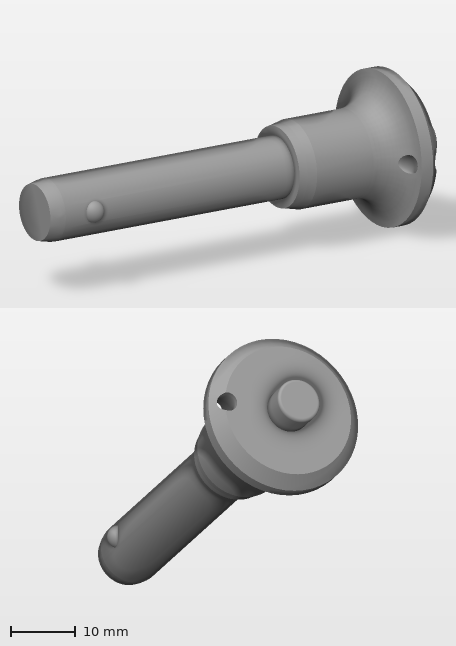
import cadquery as cq
import math


shank_radius = 5.0
shank_length = 44.5
nose_length = 2.5
nose_tip_radius = 4.5
nose_bulge = 0.08

ball_radius = 1.8
ball_reach = 6.05
ball_from_tip = 7.9

grip_radius = 7.1
collar_end_radius = 6.5
collar_radius = 6.75
collar_length = 1.35
taper_length = 1.5
flare_start = 13.2

flange_radius = 12.5
flare_radius = flange_radius - grip_radius
flange_rim_thickness = 2.1
flange_chamfer = 2.0

lanyard_hole_diameter = 3.0
lanyard_hole_offset = 10.0

button_radius = 3.5
overall_length = 71.9
button_edge_radius = 0.5

tip_y = -shank_length
nose_y = tip_y + nose_length
ball_y = tip_y + ball_from_tip
taper_end_y = collar_length + taper_length
flange_y = flare_start + flare_radius
rim_end_y = flange_y + flange_rim_thickness
flange_top_y = rim_end_y + flange_chamfer
button_top_y = tip_y + overall_length


def flare_midpoint():
    """Middle (radius, Y) of the concave quarter circle that sweeps from the grip out to the flange rim."""
    half_sweep = flare_radius * math.sqrt(0.5)
    return (flange_radius - half_sweep, flare_start + half_sweep)


def make_turned_body():
    """Half profile (radius, Y) of shank, grip, flange and button, revolved about Y."""
    nose_middle = ((shank_radius + nose_tip_radius) / 2 + nose_bulge, (tip_y + nose_y) / 2)
    edge_inset = button_edge_radius * (1 - math.sqrt(0.5))
    profile = (
        cq.Workplane("XY")
        .moveTo(0, tip_y)
        .lineTo(nose_tip_radius, tip_y)
        .threePointArc(nose_middle, (shank_radius, nose_y))
        .lineTo(shank_radius, 0)
        .lineTo(collar_end_radius, 0)
        .lineTo(collar_radius, collar_length)
        .lineTo(grip_radius, taper_end_y)
        .lineTo(grip_radius, flare_start)
        .threePointArc(flare_midpoint(), (flange_radius, flange_y))
        .lineTo(flange_radius, rim_end_y)
        .lineTo(flange_radius - flange_chamfer, flange_top_y)
        .lineTo(button_radius, flange_top_y)
        .lineTo(button_radius, button_top_y - button_edge_radius)
        .threePointArc(
            (button_radius - edge_inset, button_top_y - edge_inset),
            (button_radius - button_edge_radius, button_top_y),
        )
        .lineTo(0, button_top_y)
        .close()
    )
    return profile.revolve(360, (0, 0, 0), (0, 1, 0))


def make_locking_ball(side):
    """Ball standing out of the shank on the +X (side = 1) or -X (side = -1) side."""
    center_x = side * (ball_reach - ball_radius)
    return cq.Workplane("XY").sphere(ball_radius).translate((center_x, ball_y, 0))


def make_lanyard_hole():
    """Cutter along Y that passes through the flange and its flare."""
    return (
        cq.Workplane("XZ", origin=(lanyard_hole_offset, flange_top_y, 0))
        .circle(lanyard_hole_diameter / 2)
        .extrude(flange_top_y - flare_start)
    )


result = make_turned_body()
for side in (-1, 1):
    result = result.union(make_locking_ball(side))
result = result.cut(make_lanyard_hole())